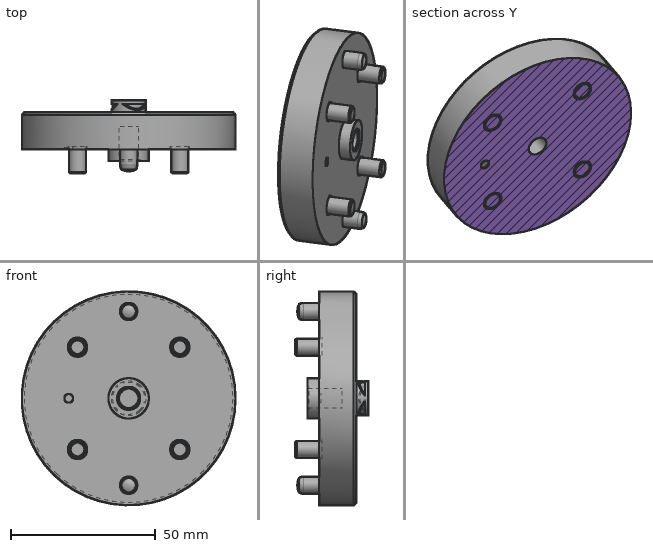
import cadquery as cq
import math

overlap = 0.4

disk_diameter = 74.0
disk_thickness = 12.9
disk_chamfer = 0.95

hub_diameter = 14.0
hub_height = 4.1
bore_diameter = 6.8
bore_depth = 12.0
counterbore_diameter = 8.0
counterbore_depth = 0.5

pin_diameter = 6.0
pin_height = 8.35
pin_chamfer = 0.6
pin_pitch_radius = 25.0
pin_count = 4
pin_recess_diameter = 6.65
pin_recess_depth = 1.0

nose_pin_offset = 30.05
nose_start = 5.5
nose_shoulder_radius = 2.5
nose_shoulder_height = 6.95
nose_pin_height = 7.6

index_hole_diameter = 3.0
index_hole_offset = 20.7
index_hole_depth = 0.6

knob_diameter = 12.0
knob_height = 4.15
knob_head_thickness = 1.25
knob_pocket_drop = 2.15
knob_pocket_depth = 0.45
knob_pocket_angles = (60, 180, 300)


def cylinder(diameter, start_y, end_y):
    """Cylinder along Y, centred on the disk axis."""
    plane = cq.Workplane("XZ", origin=(0, start_y, 0))
    return plane.circle(diameter / 2).extrude(start_y - end_y)


def make_disk():
    return cylinder(disk_diameter, 0, disk_thickness).faces(">Y").chamfer(disk_chamfer)


def make_hub():
    return cylinder(hub_diameter, -hub_height, overlap)


def make_bore():
    bore = cylinder(bore_diameter, -hub_height, bore_depth - hub_height)
    return bore.union(cylinder(counterbore_diameter, -hub_height, counterbore_depth - hub_height))


def make_pin():
    """Chamfered pin, rooted at the bottom of its recess."""
    pin = cylinder(pin_diameter, -pin_height, pin_recess_depth + overlap)
    return pin.faces("<Y").chamfer(pin_chamfer)


def make_nose_pin():
    """Pin whose end rounds over to a shoulder and then a shallow dome."""
    pin_radius = pin_diameter / 2
    dome_sag = nose_pin_height - nose_shoulder_height
    dome_radius = (nose_shoulder_radius**2 + dome_sag**2) / (2 * dome_sag)
    return (
        cq.Workplane("XY")
        .moveTo(0, overlap)
        .lineTo(pin_radius, overlap)
        .lineTo(pin_radius, -nose_start)
        .tangentArcPoint((nose_shoulder_radius, -nose_shoulder_height), relative=False)
        .radiusArc((0, -nose_pin_height), dome_radius)
        .close()
        .revolve(360, (0, 0, 0), (0, 1, 0))
    )


def make_knob():
    """Knob whose narrower neck is exposed by three pockets with 45-degree floors."""
    head_underside = disk_thickness + knob_height - knob_head_thickness
    neck_diameter = knob_diameter - 2 * knob_pocket_depth
    knob_radius = knob_diameter / 2

    sleeve = cylinder(knob_diameter, disk_thickness, head_underside)
    sleeve = sleeve.cut(cylinder(neck_diameter, disk_thickness, head_underside))
    wedge = (
        cq.Workplane("XY")
        .moveTo(knob_radius, head_underside)
        .lineTo(knob_radius, head_underside - knob_pocket_drop)
        .lineTo(knob_radius - knob_pocket_drop, head_underside)
        .close()
        .extrude(knob_radius, both=True)
    )

    knob = cylinder(knob_diameter, disk_thickness - overlap, disk_thickness + knob_height)
    for angle in knob_pocket_angles:
        pocket = wedge.rotate((0, 0, 0), (0, 1, 0), -angle).intersect(sleeve)
        knob = knob.cut(pocket)
    return knob


result = make_disk().union(make_hub()).union(make_knob()).cut(make_bore())

index_hole = cylinder(index_hole_diameter, 0, index_hole_depth)
result = result.cut(index_hole.translate((-index_hole_offset, 0, 0)))

for pin_index in range(pin_count):
    pin_angle = 2 * math.pi * (pin_index + 0.5) / pin_count
    pin_place = (pin_pitch_radius * math.cos(pin_angle), 0, pin_pitch_radius * math.sin(pin_angle))
    result = result.cut(cylinder(pin_recess_diameter, 0, pin_recess_depth).translate(pin_place))
    result = result.union(make_pin().translate(pin_place))

for side in (1, -1):
    result = result.union(make_nose_pin().translate((0, 0, side * nose_pin_offset)))